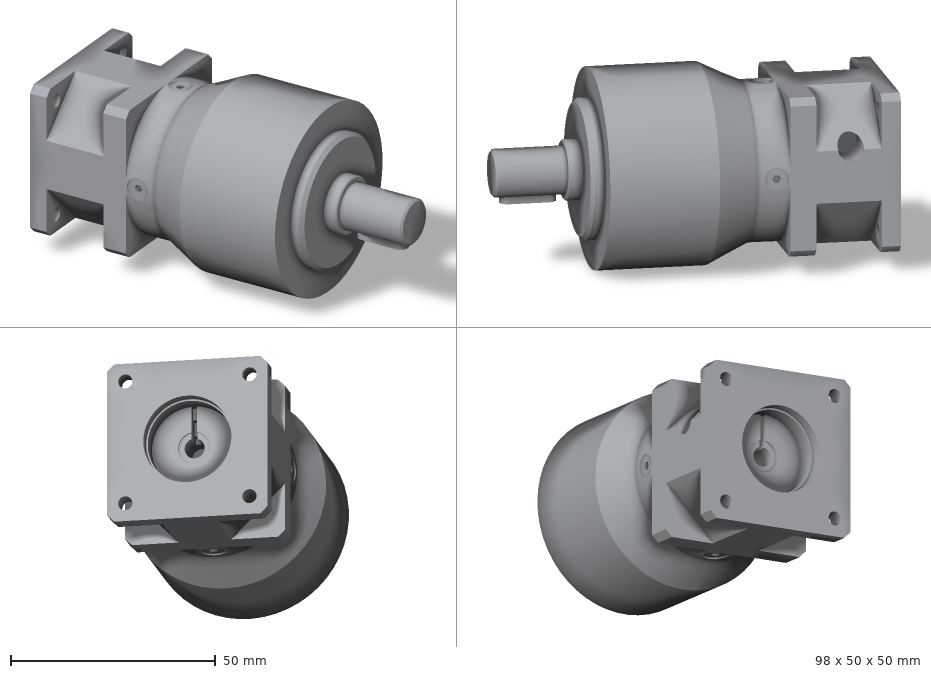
import cadquery as cq
import math

length = 98.0
front_flange_end = 4.8
rear_flange_start = 21.1
block_end = 27.5
neck_end = 35.5
cone_end = 46.1
body_end = 73.4
pilot_end = 76.6
shoulder_end = 80.2

block_size = 40.0
half_block = block_size / 2
corner_chamfer = 1.8
waist_flat = 13.1
mount_hole_spacing = 31.0
mount_hole_diameter = 3.5

body_diameter = 50.0
pilot_diameter = 35.0
pilot_chamfer = 1.0
shoulder_diameter = 15.0
shoulder_chamfer = 0.3
shaft_diameter = 12.0
shaft_chamfer = 0.6

key_start = 81.9
key_length = 14.1
key_width = 4.0
key_reach = shoulder_diameter / 2

rim_diameter = 22.0
rim_depth = 3.1
bore_diameter = 21.1
bore_depth = 8.2
hub_recess_diameter = 8.0
hub_recess_depth = 0.5
hub_hole_diameter = 5.0
hub_hole_depth = 9.8
slot_width = 1.5
slot_step_height = 7.5
slot_outer_depth = 2.0
slot_middle_depth = 3.9
slot_inner_depth = 5.9

access_x = 12.4
access_z = 7.1
access_diameter = 6.5

plug_x = 30.9
plug_diameter = 6.0
plug_inset = 0.4
plug_face_radius = half_block - plug_inset
plug_hex_flats = 2.0
plug_hex_depth = 1.0
plug_count = 4


def x_cylinder(diameter, start, end):
    return cq.Workplane("YZ", origin=(start, 0, 0)).circle(diameter / 2).extrude(end - start)


def make_block():
    block = (
        cq.Workplane("YZ")
        .rect(block_size, block_size)
        .extrude(block_end)
        .edges("|X")
        .chamfer(corner_chamfer)
    )
    pocket_leg = half_block - waist_flat / 2
    for y_side in (-1, 1):
        for z_side in (-1, 1):
            y_edge = y_side * half_block
            z_edge = z_side * half_block
            pocket = (
                cq.Workplane("YZ", origin=(front_flange_end, 0, 0))
                .moveTo(y_edge, z_edge)
                .lineTo(y_edge - y_side * pocket_leg, z_edge)
                .lineTo(y_edge, z_edge - z_side * pocket_leg)
                .close()
                .extrude(rear_flange_start - front_flange_end)
            )
            block = block.cut(pocket)
    mount_holes = (
        cq.Workplane("YZ")
        .rect(mount_hole_spacing, mount_hole_spacing, forConstruction=True)
        .vertices()
        .circle(mount_hole_diameter / 2)
        .extrude(front_flange_end)
    )
    return block.cut(mount_holes)


def make_housing():
    housing = (
        cq.Workplane("XY")
        .moveTo(block_end, 0)
        .lineTo(block_end, half_block)
        .lineTo(neck_end, half_block)
        .lineTo(cone_end, body_diameter / 2)
        .lineTo(body_end, body_diameter / 2)
        .lineTo(body_end, 0)
        .close()
        .revolve(360, (0, 0, 0), (1, 0, 0))
    )
    pilot = x_cylinder(pilot_diameter, body_end, pilot_end).faces(">X").edges().chamfer(pilot_chamfer)
    return housing.union(pilot)


def make_shaft():
    shoulder = (
        x_cylinder(shoulder_diameter, pilot_end, shoulder_end)
        .faces(">X")
        .edges()
        .chamfer(shoulder_chamfer)
    )
    shaft = x_cylinder(shaft_diameter, shoulder_end, length).faces(">X").edges().chamfer(shaft_chamfer)
    key = (
        cq.Workplane("XY")
        .center(key_start + key_length / 2, 0)
        .slot2D(key_length, key_width)
        .extrude(-key_reach)
    )
    return shoulder.union(shaft).union(key)


def slot_step(bottom, top, depth):
    step = cq.Workplane("XY").box(depth, slot_width, top - bottom, centered=(False, True, False))
    return step.translate((bore_depth, 0, bottom))


def make_motor_bore():
    recess_radius = hub_recess_diameter / 2
    return (
        x_cylinder(rim_diameter, 0, rim_depth)
        .union(x_cylinder(bore_diameter, 0, bore_depth))
        .union(x_cylinder(hub_recess_diameter, 0, bore_depth + hub_recess_depth))
        .union(x_cylinder(hub_hole_diameter, 0, bore_depth + hub_hole_depth))
        .union(slot_step(0, recess_radius, slot_inner_depth))
        .union(slot_step(recess_radius, slot_step_height, slot_middle_depth))
        .union(slot_step(slot_step_height, bore_diameter / 2, slot_outer_depth))
    )


def make_access_hole():
    return (
        cq.Workplane("XZ", origin=(access_x, half_block, access_z))
        .circle(access_diameter / 2)
        .extrude(half_block - bore_diameter / 2)
    )


def make_plug_recess(angle):
    hex_across_corners = plug_hex_flats / math.cos(math.radians(30))
    face = cq.Workplane("XY", origin=(plug_x, 0, plug_face_radius))
    spot = face.circle(plug_diameter / 2).extrude(half_block - plug_face_radius)
    socket = face.polygon(6, hex_across_corners).extrude(-plug_hex_depth)
    return spot.union(socket).rotate((0, 0, 0), (1, 0, 0), angle)


result = make_block().union(make_housing()).union(make_shaft())
result = result.cut(make_motor_bore()).cut(make_access_hole())
for plug in range(plug_count):
    result = result.cut(make_plug_recess(plug * 360 / plug_count))